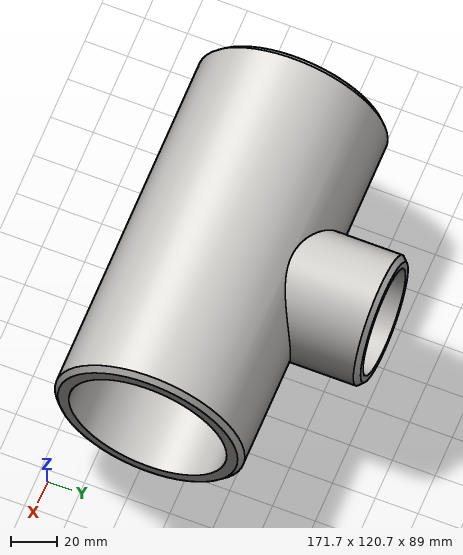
import cadquery as cq

run_length = 171.7
run_diameter = 89.0
run_bore = 73.8
branch_diameter = 60.5
branch_wall = 5.5
overall_width = 120.7
chamfer = 2.4

branch_bore = branch_diameter - 2 * branch_wall
branch_reach = overall_width - run_diameter / 2


def run_cylinder(diameter):
    """Cylinder along X, centred on the origin."""
    return cq.Workplane("YZ").circle(diameter / 2).extrude(run_length / 2, both=True)


def branch_cylinder(diameter):
    """Cylinder from the run axis to the branch end face at +Y."""
    return cq.Workplane("XZ").circle(diameter / 2).extrude(-branch_reach)


run_body = run_cylinder(run_diameter).faces("<X or >X").edges().chamfer(chamfer)
branch_body = branch_cylinder(branch_diameter).faces(">Y").edges().chamfer(chamfer)

result = (
    run_body.union(branch_body)
    .cut(run_cylinder(run_bore))
    .cut(branch_cylinder(branch_bore))
)